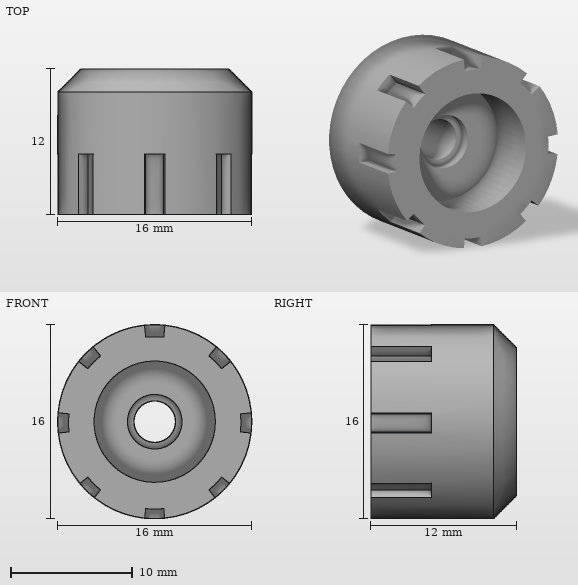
import cadquery as cq

outer_diameter = 16.0
length = 12.0
open_end_y = 0.0

taper_length = 1.9
taper_end_diameter = outer_diameter - 2 * taper_length

bore_diameter = 10.0
bore_depth = 5.0
counterbore_diameter = 4.5
counterbore_depth = 1.0
hole_diameter = 3.4

slot_count = 8
slot_angle = 12.0
slot_length = 5.0
slot_floor_diameter = 14.2
slot_overcut = 0.5
slot_drop = 0.1


def rod(diameter, start_y, rod_length):
    """Solid cylinder along +Y starting at start_y."""
    return cq.Workplane("XZ", origin=(0, start_y, 0)).circle(diameter / 2).extrude(-rod_length)


def make_body():
    """Revolved outer shape: straight wall with a tapered closed end."""
    end_y = open_end_y + length
    return (
        cq.Workplane("XY")
        .moveTo(0, open_end_y)
        .lineTo(outer_diameter / 2, open_end_y)
        .lineTo(outer_diameter / 2, end_y - taper_length)
        .lineTo(taper_end_diameter / 2, end_y)
        .lineTo(0, end_y)
        .close()
        .revolve(360, (0, 0, 0), (0, 1, 0))
    )


def cut_holes(body):
    """Stepped hole along the axis, widest at the open end."""
    body = body.cut(rod(bore_diameter, open_end_y, bore_depth))
    body = body.cut(rod(counterbore_diameter, open_end_y, bore_depth + counterbore_depth))
    return body.cut(rod(hole_diameter, open_end_y, length))


def make_slot():
    """Sector-shaped slot with radial sides, centred on +X."""
    floor_radius = slot_floor_diameter / 2
    cutter_radius = outer_diameter / 2 + slot_overcut
    inner_end_y = open_end_y + slot_length
    profile = (
        cq.Workplane("XY")
        .moveTo(floor_radius, open_end_y)
        .lineTo(cutter_radius, open_end_y)
        .lineTo(cutter_radius, inner_end_y)
        .lineTo(floor_radius, inner_end_y)
        .close()
    )
    sector = profile.revolve(slot_angle, (0, 0, 0), (0, 1, 0))
    return sector.rotate((0, 0, 0), (0, 1, 0), -slot_angle / 2)


def cut_slots(body):
    """Evenly spaced wrench slots, opening at the open end."""
    slot = make_slot()
    for index in range(slot_count):
        turned = slot.rotate((0, 0, 0), (0, 1, 0), index * 360 / slot_count)
        body = body.cut(turned.translate((0, 0, -slot_drop)))
    return body


result = cut_slots(cut_holes(make_body()))